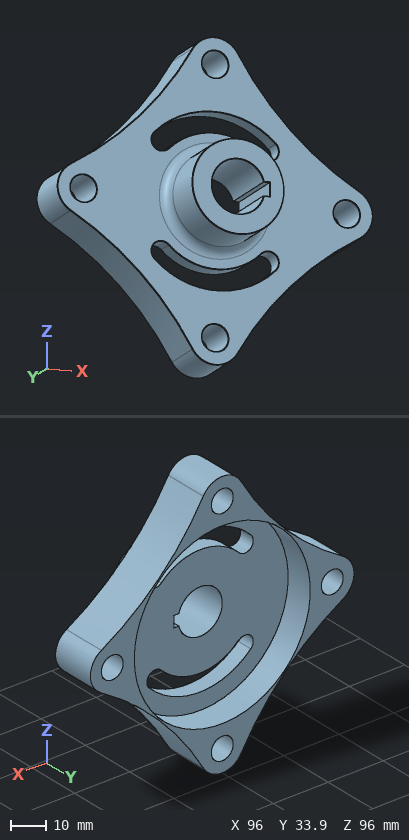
import cadquery as cq
import math

overall_size = 95.95
plate_thickness = 16.0
corner_radius = 8.0
side_arc_radius = 100.0
corner_offset = overall_size / 2 - corner_radius
corner_hole_diameter = 8.0

hub_diameter = 28.0
hub_length = 17.9
hub_fillet = 3.0

bore_diameter = 16.0
keyway_width = 4.0
keyway_reach = 9.6

slot_mid_radius = 23.0
slot_width = 6.0
slot_half_angle = 45.0

recess_diameter = 64.0
recess_depth = 10.0

edge_chamfer = 0.2


def polar(radius, angle):
    """Point at a radius and an angle in degrees from +X towards +Z."""
    return (radius * math.cos(math.radians(angle)), radius * math.sin(math.radians(angle)))


def section(y):
    """Sketch plane facing -Y, with local axes +X and +Z, at the given Y."""
    return cq.Workplane("XZ", origin=(0, y, 0))


def make_plate():
    half_span = corner_offset / math.sqrt(2)
    centre_span = corner_radius + side_arc_radius
    arc_centre_distance = half_span + math.sqrt(centre_span**2 - half_span**2)
    side_mid_distance = arc_centre_distance - side_arc_radius
    arc_centre = polar(arc_centre_distance, 45)
    blend = corner_radius / centre_span
    tangent_x = corner_offset + blend * (arc_centre[0] - corner_offset)
    tangent_z = blend * arc_centre[1]
    tangent_radius = math.hypot(tangent_x, tangent_z)
    tangent_angle = math.degrees(math.atan2(tangent_z, tangent_x))

    outline = section(plate_thickness).moveTo(tangent_x, -tangent_z)
    for corner_angle in (0, 90, 180, 270):
        outline = outline.threePointArc(
            polar(overall_size / 2, corner_angle),
            polar(tangent_radius, corner_angle + tangent_angle),
        )
        outline = outline.threePointArc(
            polar(side_mid_distance, corner_angle + 45),
            polar(tangent_radius, corner_angle + 90 - tangent_angle),
        )
    return outline.close().extrude(plate_thickness)


def make_hub():
    """Hub with a concave fillet flaring out onto the plate's front face."""
    hub_radius = hub_diameter / 2
    arc_offset = hub_fillet * (1 - math.sqrt(0.5))
    return (
        cq.Workplane("XY")
        .lineTo(hub_radius + hub_fillet, 0)
        .threePointArc((hub_radius + arc_offset, -arc_offset), (hub_radius, -hub_fillet))
        .lineTo(hub_radius, -hub_length)
        .lineTo(0, -hub_length)
        .close()
        .revolve(360, (0, 0, 0), (0, 1, 0))
    )


def through_cutter(sketch):
    return sketch.extrude(plate_thickness + hub_length)


def make_bore():
    bore = through_cutter(section(plate_thickness).circle(bore_diameter / 2))
    keyway = section(plate_thickness).center(keyway_reach / 2, 0).rect(keyway_reach, keyway_width)
    return bore.union(through_cutter(keyway))


def make_slot(mid_angle):
    inner = slot_mid_radius - slot_width / 2
    outer = slot_mid_radius + slot_width / 2
    start = mid_angle - slot_half_angle
    end = mid_angle + slot_half_angle
    sketch = (
        section(plate_thickness)
        .moveTo(*polar(outer, start))
        .threePointArc(polar(outer, mid_angle), polar(outer, end))
        .tangentArcPoint(polar(inner, end), relative=False)
        .threePointArc(polar(inner, mid_angle), polar(inner, start))
        .tangentArcPoint(polar(outer, start), relative=False)
        .close()
    )
    return sketch.extrude(plate_thickness)


def make_corner_holes():
    sketch = section(plate_thickness).polarArray(corner_offset, 0, 360, 4)
    return through_cutter(sketch.circle(corner_hole_diameter / 2))


def make_recess():
    return section(plate_thickness).circle(recess_diameter / 2).extrude(recess_depth)


def break_front_edges(body):
    """Chamfer every edge of the frontmost face."""
    return body.faces("<Y").edges().chamfer(edge_chamfer)


plate = make_plate().cut(make_recess()).cut(make_corner_holes())
for slot_angle in (90, 270):
    plate = plate.cut(make_slot(slot_angle))

plate = break_front_edges(plate)
result = break_front_edges(plate.union(make_hub()).cut(make_bore()))